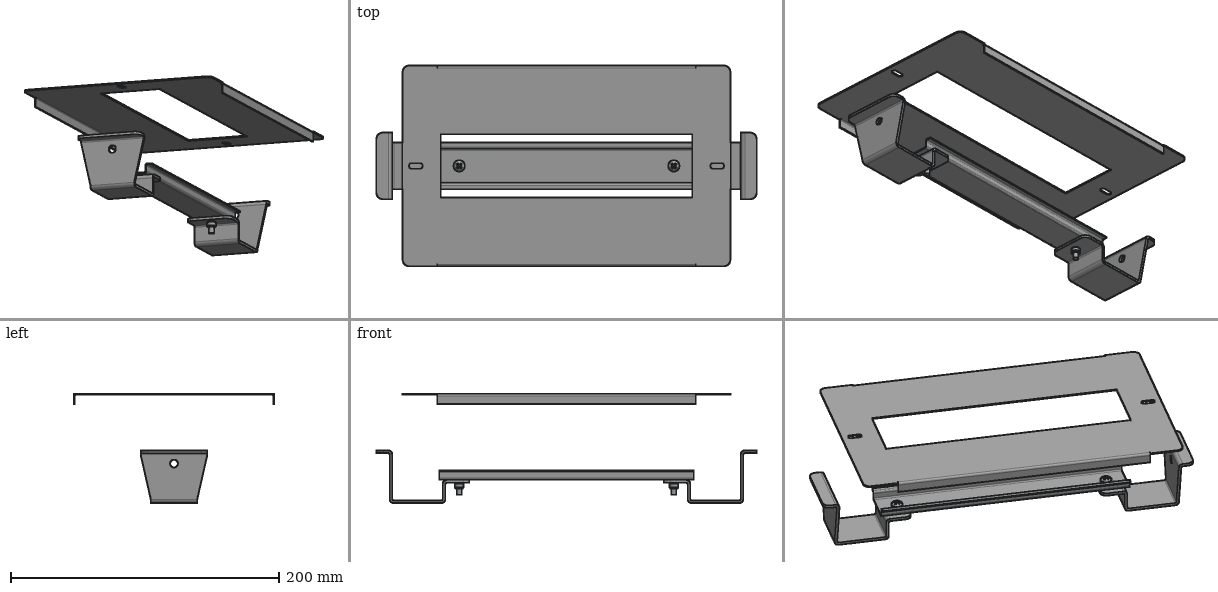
import cadquery as cq
import math

total_length = 284.0
total_height = 81.8
rail_base_z = 17.3
screw_spacing = 160.2

plate_length = 244.8
plate_width = 150.0
plate_thickness = 1.0
plate_corner_radius = 5.0
plate_bend_radius = 0.7
flange_length = 193.0
flange_height = 8.0
window_length = 187.5
window_width = 47.0
slot_spacing = 225.0
slot_length = 10.2
slot_width = 4.3

rail_length = 190.3
rail_width = 35.0
rail_height = 7.5
rail_trough_width = 27.0
rail_thickness = 0.9
rail_bend_radius = 0.9

bracket_thickness = 2.13
bracket_bend_radius = 1.0
bracket_height = 39.5
tab_width = 50.0
tab_corner_radius = 5.0
outer_wall_x = 132.0
inner_wall_x = 90.3
shelf_end_x = 72.5
cable_hole_diameter = 5.7
cable_hole_z = 29.5

screw_diameter = 4.0
screw_length = 12.0
head_diameter = 8.5
head_height = 3.0
head_dome_height = 2.3
recess_span = 4.5
recess_arm_width = 1.0
recess_depth = 1.7
nut_diameter = 6.8
nut_height = 4.3
nut_chamfer = 0.9

SIDES = (-1, 1)
RECESS_ANGLES = (45, 135)


def bent_sheet(path, thickness, inside_radius, width):
    """Extrude a sheet of square bends, along its centreline path, equally to both sides of its plane."""
    half = thickness / 2
    points = [cq.Vector(x, y) for x, y in path]
    directions = [(end - start).normalized() for start, end in zip(points, points[1:])]
    normals = [cq.Vector(-d.y, d.x) for d in directions]

    offsets = [normals[0]] + [a + b for a, b in zip(normals, normals[1:])] + [normals[-1]]
    left = [p + n * half for p, n in zip(points, offsets)]
    right = [p - n * half for p, n in zip(points, offsets)]
    outline = [(p.x, p.y) for p in left + right[::-1]]
    sheet = cq.Workplane("XY").polyline(outline).close().extrude(width / 2, both=True)

    for corner, d_in, d_out in zip(points[1:-1], directions, directions[1:]):
        inward = (d_out - d_in) * half
        for point, radius in (
            (corner + inward, inside_radius),
            (corner - inward, inside_radius + thickness),
        ):
            sheet = sheet.edges(cq.NearestToPointSelector((point.x, point.y, 0))).fillet(radius)
    return sheet


def along_x(profile_body):
    """Turn a body drawn in XY and extruded along Z so it lies in YZ and runs along X."""
    return profile_body.rotate((0, 0, 0), (1, 1, 1), 120)


def make_plate():
    """Cover plate with a window, two slots and a flange bent down along each long edge."""
    bottom_z = total_height - plate_thickness
    flat = cq.Workplane("XY", origin=(0, 0, bottom_z))
    blank = flat.rect(plate_length, plate_width).extrude(plate_thickness)
    blank = blank.edges("|Z").fillet(plate_corner_radius)

    middle = flat.rect(flange_length, plate_width).extrude(plate_thickness)
    half_width = (plate_width - plate_thickness) / 2
    sheet_z = total_height - plate_thickness / 2
    flange_end_z = total_height - flange_height
    channel_path = [
        (-half_width, flange_end_z),
        (-half_width, sheet_z),
        (half_width, sheet_z),
        (half_width, flange_end_z),
    ]
    channel = along_x(bent_sheet(channel_path, plate_thickness, plate_bend_radius, flange_length))

    window = flat.rect(window_length, window_width).extrude(plate_thickness)
    slots = (
        flat.pushPoints([(side * slot_spacing / 2, 0) for side in SIDES])
        .slot2D(slot_length, slot_width)
        .extrude(plate_thickness)
    )
    return blank.cut(middle).union(channel).cut(window).cut(slots)


def make_rail():
    """Top-hat rail, open upwards, with a screw hole over each bracket shelf."""
    half_width = rail_width / 2
    wall_y = (rail_trough_width - rail_thickness) / 2
    floor_z = rail_base_z + rail_thickness / 2
    lip_z = rail_base_z + rail_height - rail_thickness / 2
    hat_path = [
        (-half_width, lip_z),
        (-wall_y, lip_z),
        (-wall_y, floor_z),
        (wall_y, floor_z),
        (wall_y, lip_z),
        (half_width, lip_z),
    ]
    rail = along_x(bent_sheet(hat_path, rail_thickness, rail_bend_radius, rail_length))
    screw_holes = (
        cq.Workplane("XY", origin=(0, 0, rail_base_z))
        .pushPoints([(side * screw_spacing / 2, 0) for side in SIDES])
        .circle(screw_diameter / 2)
        .extrude(rail_thickness)
    )
    return rail.cut(screw_holes)


def make_bracket(side):
    """Bracket at the -X end (side = -1), or the same one turned half round Z for the +X end."""
    half = bracket_thickness / 2
    tab_z = bracket_height - half
    shelf_z = rail_base_z - half
    path = [
        (-total_length / 2, tab_z),
        (-outer_wall_x + half, tab_z),
        (-outer_wall_x + half, half),
        (-inner_wall_x - half, half),
        (-inner_wall_x - half, shelf_z),
        (-shelf_end_x, shelf_z),
    ]
    bracket = bent_sheet(path, bracket_thickness, bracket_bend_radius, tab_width)
    bracket = bracket.rotate((0, 0, 0), (1, 0, 0), 90)

    bend_height = bracket_thickness + bracket_bend_radius
    taper_top_z = bracket_height - bend_height
    side_outline = [
        (-rail_width / 2, 0),
        (rail_width / 2, 0),
        (rail_width / 2, bend_height),
        (tab_width / 2, taper_top_z),
        (tab_width / 2, bracket_height),
        (-tab_width / 2, bracket_height),
        (-tab_width / 2, taper_top_z),
        (-rail_width / 2, bend_height),
    ]
    wall_x = outer_wall_x - bend_height
    wall_envelope = (
        cq.Workplane("YZ", origin=(-total_length / 2, 0, 0))
        .polyline(side_outline)
        .close()
        .extrude(total_length / 2 - wall_x)
    )
    inner_envelope = (
        cq.Workplane("XY", origin=(-wall_x, -rail_width / 2, 0))
        .rect(wall_x, rail_width, centered=False)
        .extrude(bracket_height)
    )
    bracket = bracket.intersect(wall_envelope.union(inner_envelope))

    bracket = bracket.edges("|Z").edges("<X").fillet(tab_corner_radius)
    bracket = bracket.edges("|Z").edges(">X").fillet(tab_corner_radius)

    cable_hole = (
        cq.Workplane("YZ", origin=(-outer_wall_x, 0, cable_hole_z))
        .circle(cable_hole_diameter / 2)
        .extrude(bracket_thickness)
    )
    screw_hole = (
        cq.Workplane("XY", origin=(-screw_spacing / 2, 0, rail_base_z))
        .circle(screw_diameter / 2)
        .extrude(-bracket_thickness)
    )
    bracket = bracket.cut(cable_hole).cut(screw_hole)
    return bracket.rotate((0, 0, 0), (0, 0, 1), 0 if side < 0 else 180)


def make_screw(side):
    """Domed screw with a cross recess, its head seated on the rail floor."""
    seat_z = rail_base_z + rail_thickness
    top_z = seat_z + head_height
    head_radius = head_diameter / 2
    rim_z = top_z - head_dome_height
    dome_radius = (head_radius**2 + head_dome_height**2) / (2 * head_dome_height)
    middle_x = head_radius / 2
    middle_z = top_z - dome_radius + math.sqrt(dome_radius**2 - middle_x**2)
    screw = (
        cq.Workplane("XZ")
        .moveTo(0, seat_z - screw_length)
        .lineTo(screw_diameter / 2, seat_z - screw_length)
        .lineTo(screw_diameter / 2, seat_z)
        .lineTo(head_radius, seat_z)
        .lineTo(head_radius, rim_z)
        .threePointArc((middle_x, middle_z), (0, top_z))
        .close()
        .revolve(360, (0, 0, 0), (0, 1, 0))
    )
    for angle in RECESS_ANGLES:
        arm = (
            cq.Workplane("XY", origin=(0, 0, top_z))
            .transformed(rotate=(0, 0, angle))
            .rect(recess_span, recess_arm_width)
            .extrude(-recess_depth)
        )
        screw = screw.cut(arm)
    return screw.translate((side * screw_spacing / 2, 0, 0))


def make_nut(side):
    """Round nut, chamfered at both ends, under the bracket shelf with the screw shank through its bore."""
    top_z = rail_base_z - bracket_thickness
    nut_start = cq.Workplane("XY", origin=(side * screw_spacing / 2, 0, top_z))
    nut = nut_start.circle(nut_diameter / 2).extrude(-nut_height).edges("%CIRCLE").chamfer(nut_chamfer)
    bore = nut_start.circle(screw_diameter / 2).extrude(-nut_height)
    return nut.cut(bore)


plate = make_plate()
rail = make_rail()
brackets = [make_bracket(side) for side in SIDES]
screws = [make_screw(side) for side in SIDES]
nuts = [make_nut(side) for side in SIDES]

bodies = [plate, rail, *brackets, *screws, *nuts]
result = cq.Compound.makeCompound([body.val() for body in bodies])